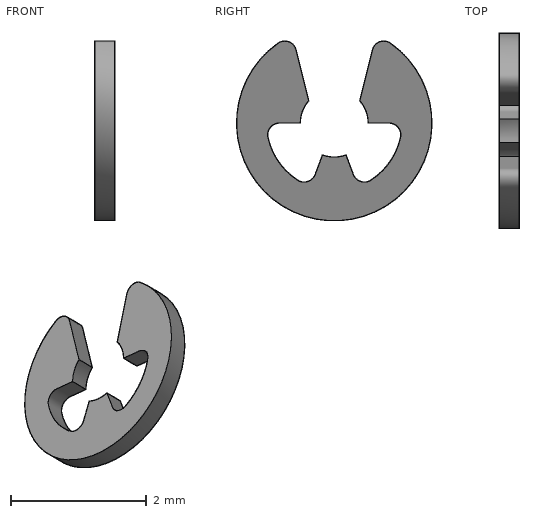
import cadquery as cq
import math

thickness = 0.3
outer_radius = 1.445
overall_height = 2.66
bore_radius = 0.5
relief_radius = 1.0
corner_radius = 0.173
prong_flank_angle = 14.0
finger_half_angle = 20.5


def polar(radius, angle):
    """Point (y, z) at an angle in degrees from +Y."""
    a = math.radians(angle)
    return (radius * math.cos(a), radius * math.sin(a))


def shifted(point, radius, angle):
    """Point at a polar offset from another point."""
    offset = polar(radius, angle)
    return (point[0] + offset[0], point[1] + offset[1])


def angle_of(point):
    return math.degrees(math.atan2(point[1], point[0]))


tip_z = overall_height - outer_radius - corner_radius
tip_center = (math.sqrt((outer_radius - corner_radius) ** 2 - tip_z**2), tip_z)
rim_angle = angle_of(tip_center)
rim_end = polar(outer_radius, rim_angle)
flank_normal = 180 - prong_flank_angle
flank_top = shifted(tip_center, corner_radius, flank_normal)
tip_middle = shifted(tip_center, corner_radius, (rim_angle + flank_normal) / 2)

flank_direction = 270 - prong_flank_angle
unit = polar(1, flank_direction)
along = flank_top[0] * unit[0] + flank_top[1] * unit[1]
across_squared = flank_top[0] ** 2 + flank_top[1] ** 2 - along**2
flank_length = -along - math.sqrt(bore_radius**2 - across_squared)
flank_bottom = shifted(flank_top, flank_length, flank_direction)

finger_angle = -90 + finger_half_angle
corner_distance = relief_radius - corner_radius
corner_offset = math.degrees(math.asin(corner_radius / corner_distance))
edge_distance = corner_distance * math.cos(math.radians(corner_offset))
upper_angle = -corner_offset
lower_angle = finger_angle + corner_offset
upper_center = polar(corner_distance, upper_angle)
lower_center = polar(corner_distance, lower_angle)
upper_middle = shifted(upper_center, corner_radius, (90 + upper_angle) / 2)
lower_middle = shifted(lower_center, corner_radius, (lower_angle + finger_angle - 90) / 2)


def mirrored(point):
    return (-point[0], point[1])


half_path = [
    (tip_middle, flank_top),
    (None, flank_bottom),
    (polar(bore_radius, angle_of(flank_bottom) / 2), polar(bore_radius, 0)),
    (None, polar(edge_distance, 0)),
    (upper_middle, polar(relief_radius, upper_angle)),
    (polar(relief_radius, (upper_angle + lower_angle) / 2), polar(relief_radius, lower_angle)),
    (lower_middle, polar(edge_distance, finger_angle)),
    (None, polar(bore_radius, finger_angle)),
]


def add_segment(sketch, middle, end):
    if middle is None:
        return sketch.lineTo(*end)
    return sketch.threePointArc(middle, end)


outline = cq.Workplane("YZ").moveTo(*rim_end)
for middle, end in half_path:
    outline = add_segment(outline, middle, end)

outline = outline.threePointArc((0, -bore_radius), mirrored(half_path[-1][1]))

starts = [rim_end] + [end for _, end in half_path[:-1]]
for (middle, _), start in reversed(list(zip(half_path, starts))):
    mirrored_middle = None if middle is None else mirrored(middle)
    outline = add_segment(outline, mirrored_middle, mirrored(start))

outline = outline.threePointArc((0, -outer_radius), rim_end).close()
result = outline.extrude(thickness / 2, both=True)